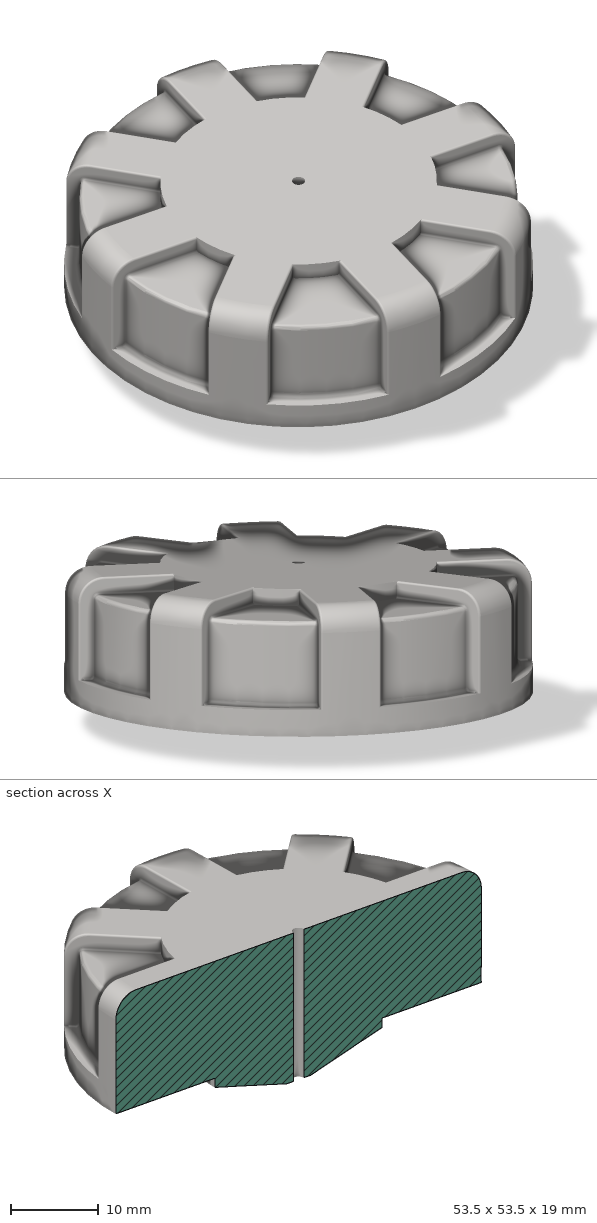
import cadquery as cq
import math

cap_diameter = 53.5
cap_height = 15.0
top_edge_radius = 2.95
vent_diameter = 1.5

rib_count = 8
rib_width = 7.0
rib_edge_radius = 0.25
hub_radius = 15.8
drum_radius = 25.0
drum_fillet = 0.5
recess_depth = 2.0
ledge_height = 3.1

plug_diameter = 24.5
plug_rim_height = 1.2
plug_height = 4.0
plug_tip_diameter = 3.5

cap_radius = cap_diameter / 2
floor_height = cap_height - recess_depth
rib_pitch = 360 / rib_count
foot_fillet_end_radius = cap_radius - 2 * rib_edge_radius
tolerance = 0.005


def cylinder(radius, bottom, top):
    return cq.Workplane("XY").workplane(offset=bottom).circle(radius).extrude(top - bottom)


def radius_of(point):
    """Distance of a point from the cap's axis."""
    return math.hypot(point.x, point.y)


def on_rib_side(edge):
    """True if the edge lies in a side plane of one of the ribs."""
    for point in (edge.startPoint(), edge.positionAt(0.5), edge.endPoint()):
        angle = math.degrees(math.atan2(point.y, point.x)) % rib_pitch
        angle_to_rib = math.radians(min(angle, rib_pitch - angle))
        distance_to_rib_axis = radius_of(point) * math.sin(angle_to_rib)
        if abs(distance_to_rib_axis - rib_width / 2) > tolerance:
            return False
    return True


def is_rib_foot(edge):
    """Recess edges where a rib side meets the recess floor, the drum wall or the ledge."""
    highest = max(edge.startPoint().z, edge.endPoint().z)
    return on_rib_side(edge) and highest < floor_height + tolerance


def is_rib_outer_edge(edge):
    """Edges where a rib side meets the cap's top, rounded shoulder or outer wall."""
    for point in (edge.startPoint(), edge.endPoint()):
        on_top = point.z > cap_height - tolerance
        on_wall = radius_of(point) > cap_radius - tolerance
        if not (on_top or on_wall):
            return False
    return on_rib_side(edge)


def is_drum_rim(edge):
    """Arcs at the top and the foot of the drum wall."""
    return edge.geomType() == "CIRCLE" and abs(edge.radius() - drum_radius) < tolerance


def fillet_where(body, condition, radius):
    """Fillet every edge of the body that meets the condition."""
    edges = [edge for edge in body.edges().vals() if condition(edge)]
    return body.newObject(edges).fillet(radius)


def make_recess():
    """Cutter for the gap between the rib along +X and the next one around."""
    pitch = math.radians(rib_pitch)
    half_width = rib_width / 2
    reach = cap_diameter
    apex = (half_width / math.tan(pitch / 2), half_width)
    wedge = (
        cq.Workplane("XY")
        .workplane(offset=ledge_height)
        .polyline([
            apex,
            (apex[0] + reach, apex[1]),
            (apex[0] + reach * math.cos(pitch), apex[1] + reach * math.sin(pitch)),
        ])
        .close()
        .extrude(cap_height)
    )
    drum = cylinder(drum_radius, ledge_height, floor_height)
    hub = cylinder(hub_radius, floor_height, 2 * cap_height)
    recess = wedge.cut(drum).cut(hub)
    square_end = recess.cut(cylinder(foot_fillet_end_radius, ledge_height, 2 * cap_height))
    recess = fillet_where(recess, is_drum_rim, drum_fillet)
    recess = fillet_where(recess, is_rib_foot, rib_edge_radius)
    return recess.union(square_end)


def make_cap():
    """Round cap with a rounded shoulder, recessed to leave the ribs."""
    cap = cylinder(cap_radius, 0, cap_height).faces(">Z").edges().fillet(top_edge_radius)
    recess = make_recess()
    for index in range(rib_count):
        cap = cap.cut(recess.rotate((0, 0, 0), (0, 0, 1), index * rib_pitch))
    return fillet_where(cap, is_rib_outer_edge, rib_edge_radius)


def make_plug():
    """Short rim tapering to a small flat tip."""
    profile = [
        (0, 0),
        (plug_diameter / 2, 0),
        (plug_diameter / 2, -plug_rim_height),
        (plug_tip_diameter / 2, -plug_height),
        (0, -plug_height),
    ]
    return cq.Workplane("XZ").polyline(profile).close().revolve(360, (0, 0, 0), (0, 1, 0))


vent = cylinder(vent_diameter / 2, -plug_height, cap_height)
result = make_cap().union(make_plug()).cut(vent)